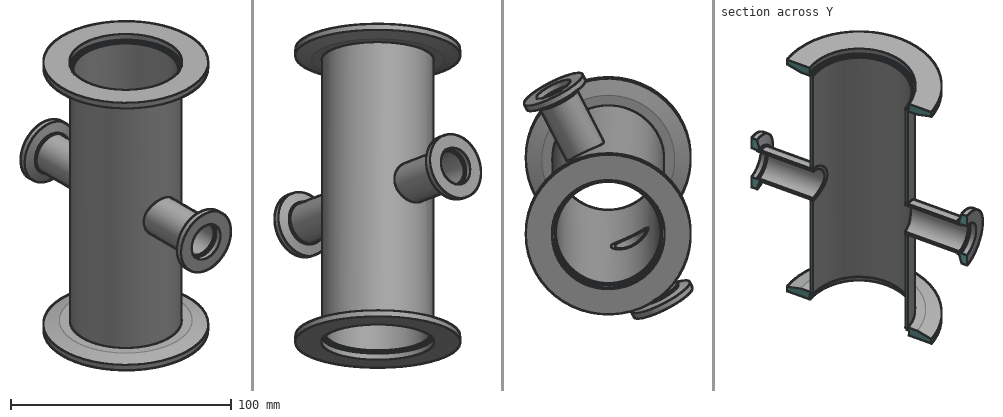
import cadquery as cq
import math

MAIN_LENGTH = 140.0
BRANCH_SPAN = 111.9
CONE_ANGLE = 15.0
CONE_SLOPE = math.tan(math.radians(CONE_ANGLE))
RIM_THICKNESS = 3.0

MAIN_OUTER_D = 50.8
MAIN_INNER_D = 47.6
MAIN_FLANGE_D = 75.0
MAIN_FLANGE_THICKNESS = 4.9
MAIN_RECESS_D = 51.2
MAIN_RECESS_DEPTH = 3.0
MAIN_LIP_D = 49.1
MAIN_SOCKET_D = 51.0
MAIN_TUBE_INSET = 3.9

BRANCH_OUTER_D = 19.0
BRANCH_INNER_D = 15.8
BRANCH_FLANGE_D = 30.0
BRANCH_FLANGE_THICKNESS = 5.0
BRANCH_HUB_D = 20.0
BRANCH_RECESS_D = 17.2
BRANCH_RECESS_DEPTH = 3.0
BRANCH_LIP_D = 16.1
BRANCH_SOCKET_D = 19.3
BRANCH_TUBE_INSET = 3.9


def cylinder(diameter, start, end):
    """Solid cylinder on the Z axis between two heights."""
    return cq.Workplane("XY").workplane(offset=start).circle(diameter / 2).extrude(end - start)


def flange(back, rim_d, thickness, recess_d, recess_depth, lip_d, socket_d, tube_inset):
    """Flange with its sealing face at Z = 0; `back` lists the (radius, Z) points behind the rim."""
    outline = [(0, 0), (rim_d / 2, 0), (rim_d / 2, RIM_THICKNESS), *back, (0, thickness)]
    blank = cq.Workplane("XZ").polyline(outline).close().revolve(360, (0, 0), (0, 1))
    recess = cylinder(recess_d, 0, recess_depth)
    lip_bore = cylinder(lip_d, 0, thickness)
    socket = cylinder(socket_d, tube_inset, thickness)
    return blank.cut(recess).cut(lip_bore).cut(socket)


def place_on_branch(body, side):
    """Turn a body from local +Z to point inward along X from the end on the given side."""
    return body.rotate((0, 0, 0), (0, 1, 0), -90 * side).translate((side * BRANCH_SPAN / 2, 0, 0))


def make_main_tube():
    """Main tube with a round port through both walls for the branch tubes."""
    end = MAIN_LENGTH / 2 - MAIN_TUBE_INSET
    tube = cylinder(MAIN_OUTER_D, -end, end).cut(cylinder(MAIN_INNER_D, -end, end))
    ports = cylinder(BRANCH_OUTER_D, -MAIN_OUTER_D, MAIN_OUTER_D).rotate((0, 0, 0), (0, 1, 0), 90)
    return tube.cut(ports)


def make_main_flange(side):
    """Flange on the top (side = 1) or bottom (side = -1) end of the main tube."""
    cone_width = (MAIN_FLANGE_THICKNESS - RIM_THICKNESS) / CONE_SLOPE
    back = [(MAIN_FLANGE_D / 2 - cone_width, MAIN_FLANGE_THICKNESS)]
    body = flange(
        back, MAIN_FLANGE_D, MAIN_FLANGE_THICKNESS, MAIN_RECESS_D, MAIN_RECESS_DEPTH,
        MAIN_LIP_D, MAIN_SOCKET_D, MAIN_TUBE_INSET,
    )
    turn = 180 if side > 0 else 0
    return body.rotate((0, 0, 0), (1, 0, 0), turn).translate((0, 0, side * MAIN_LENGTH / 2))


def make_branch_tube(side):
    """Branch tube whose inner end follows the bore of the main tube."""
    inner_end = BRANCH_SPAN / 2
    tube = cylinder(BRANCH_OUTER_D, BRANCH_TUBE_INSET, inner_end)
    tube = tube.cut(cylinder(BRANCH_INNER_D, BRANCH_TUBE_INSET, inner_end))
    main_bore = cylinder(MAIN_INNER_D, -BRANCH_OUTER_D, BRANCH_OUTER_D)
    return place_on_branch(tube, side).cut(main_bore)


def make_branch_flange(side):
    """Flange on the outer end of the branch on the given side."""
    hub_radius = BRANCH_HUB_D / 2
    cone_height = (BRANCH_FLANGE_D / 2 - hub_radius) * CONE_SLOPE
    back = [(hub_radius, RIM_THICKNESS + cone_height), (hub_radius, BRANCH_FLANGE_THICKNESS)]
    body = flange(
        back, BRANCH_FLANGE_D, BRANCH_FLANGE_THICKNESS, BRANCH_RECESS_D, BRANCH_RECESS_DEPTH,
        BRANCH_LIP_D, BRANCH_SOCKET_D, BRANCH_TUBE_INSET,
    )
    return place_on_branch(body, side)


bodies = [make_main_tube().val()]
for side in (-1, 1):
    bodies.append(make_main_flange(side).val())
    bodies.append(make_branch_tube(side).val())
    bodies.append(make_branch_flange(side).val())

result = cq.Compound.makeCompound(bodies)